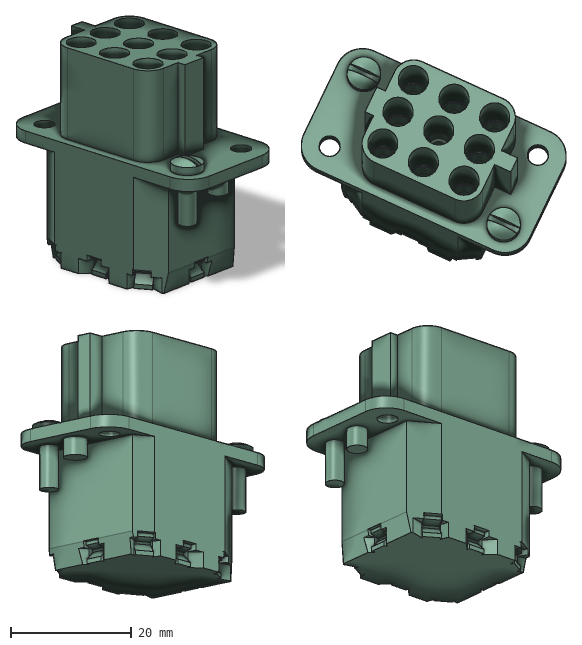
import cadquery as cq
import math

total_height = 38.75
flange_top = 22.42
flange_thickness = 2.15
flange_bottom = flange_top - flange_thickness

flange_length = 41.6
flange_width = 22.4
flange_corner_radius = 4.58
fixing_x = 16.0
fixing_y = 6.7
fixing_hole_diameter = 3.5

insert_center_x = -0.9
insert_length = 21.85
insert_width = 18.95
insert_corner_radius = 3.5
narrow_key_tip_x = -14.8
narrow_key_width = 2.65
wide_key_tip_x = 11.55
wide_key_width = 4.65

cavity_pitch_x = 7.5
cavity_pitch_y = 6.0
cavity_diameter = 5.0
cavity_depth = 12.5
cavity_step_diameter = 4.58
cavity_step_depth = 0.2
funnel_depth = 1.25
ground_seat_diameter = 3.8
tip_diameter = 2.7
tip_depth = 0.85

base_half_length = 13.15
base_half_width = flange_width / 2
base_center_x = -0.87
front_face_half_length = 8.85
corner_angle = 30.0
taper_height = 3.7
taper_inset = 0.65

latch_width = 3.2
pocket_height = 2.7
window_height = 3.8
pocket_throat_depth = 1.85
latch_depth = 1.25
back_wall_depth = 2.75
latch_foot_height = 0.8
latch_slope_top = 2.25
lintel_depth = 1.1
lintel_bottom = 3.15
end_pocket_face_x = 13.55
corner_pocket_offset = 10.05

screw_head_diameter = 5.6
screw_rim_height = 1.4
screw_dome_height = 0.8
screw_slot_width = 1.0
screw_shank_diameter = 3.15
screw_shank_length = 7.35
left_pin_x = -17.0
left_pin_diameter = 4.0
left_pin_length = 3.1
right_pin_x = 16.9
right_pin_diameter = 3.5
right_pin_length = 3.55


def cylinder(x, y, z, diameter, height):
    """Upright cylinder standing on (x, y, z)."""
    return cq.Workplane("XY", origin=(x, y, z)).circle(diameter / 2).extrude(height)


def block(x_min, x_max, width, z_min, z_max):
    """Box centred on Y = 0 between the given X and Z limits."""
    center = ((x_min + x_max) / 2, 0, z_min)
    return (
        cq.Workplane("XY", origin=center)
        .rect(x_max - x_min, width)
        .extrude(z_max - z_min)
    )


def make_flange():
    flange = (
        cq.Workplane("XY", origin=(0, 0, flange_bottom))
        .rect(flange_length, flange_width)
        .extrude(flange_thickness)
        .edges("|Z")
        .fillet(flange_corner_radius)
    )
    for side in (-1, 1):
        hole = cylinder(side * fixing_x, side * fixing_y, flange_bottom,
                        fixing_hole_diameter, flange_thickness)
        flange = flange.cut(hole)
    return flange


def make_insert():
    insert = (
        cq.Workplane("XY", origin=(insert_center_x, 0, flange_bottom))
        .rect(insert_length, insert_width)
        .extrude(total_height - flange_bottom)
        .edges("|Z")
        .fillet(insert_corner_radius)
    )
    narrow_key = block(narrow_key_tip_x, insert_center_x, narrow_key_width, flange_top, total_height)
    wide_key = block(insert_center_x, wide_key_tip_x, wide_key_width, flange_top, total_height)
    return insert.union(narrow_key).union(wide_key)


def make_cavity(x, y, funnel_profile):
    """Round cavity with a stepped bottom; the profile lists (diameter, depth) downwards."""
    points = [(0, 0)]
    points += [(diameter / 2, -depth) for diameter, depth in funnel_profile]
    return (
        cq.Workplane("XZ")
        .polyline(points)
        .close()
        .revolve(360, (0, 0), (0, 1))
        .translate((x, y, total_height))
    )


def cut_cavities(body):
    funnel_top = cavity_depth + cavity_step_depth
    funnel_bottom = funnel_top + funnel_depth
    tip = [(tip_diameter, funnel_bottom), (0, funnel_bottom + tip_depth)]
    signal_profile = [
        (cavity_diameter, 0),
        (cavity_diameter, cavity_depth),
        (cavity_step_diameter, cavity_depth),
        (cavity_step_diameter, funnel_top),
    ] + tip
    ground_profile = [
        (cavity_diameter, 0),
        (cavity_diameter, funnel_top),
        (ground_seat_diameter, funnel_bottom),
    ] + tip
    for column in (-1, 0, 1):
        for row in (-1, 0, 1):
            profile = ground_profile if column == 0 and row == 0 else signal_profile
            x = insert_center_x + column * cavity_pitch_x
            body = body.cut(make_cavity(x, row * cavity_pitch_y, profile))
    return body


def corner_face_y(x):
    """Distance from the X axis to the slanted corner face at a given X."""
    run = abs(x - base_center_x) - front_face_half_length
    return base_half_width - run * math.tan(math.radians(corner_angle))


def make_base():
    front_left = base_center_x - front_face_half_length
    front_right = base_center_x + front_face_half_length
    left_y = corner_face_y(-base_half_length)
    right_y = corner_face_y(base_half_length)
    outline = [
        (front_left, -base_half_width),
        (front_right, -base_half_width),
        (base_half_length, -right_y),
        (base_half_length, right_y),
        (front_right, base_half_width),
        (front_left, base_half_width),
        (-base_half_length, left_y),
        (-base_half_length, -left_y),
    ]
    base = cq.Workplane("XY").polyline(outline).close().extrude(flange_bottom)
    bottom_half_length = base_half_length - taper_inset
    tapered_side = (
        cq.Workplane("XZ")
        .polyline([
            (-bottom_half_length, 0),
            (bottom_half_length, 0),
            (base_half_length, taper_height),
            (base_half_length, flange_bottom),
            (-base_half_length, flange_bottom),
            (-base_half_length, taper_height),
        ])
        .close()
        .extrude(base_half_width, both=True)
    )
    return base.intersect(tapered_side)


def make_latch_pocket():
    """Pocket tool whose outer face lies on X = 0 and which reaches towards -X."""
    half_width = latch_width / 2
    overrun = 0.85
    mouth_half_width = half_width + pocket_throat_depth + overrun
    mouth = (
        cq.Workplane("XY")
        .polyline([
            (overrun, -mouth_half_width),
            (overrun, mouth_half_width),
            (-pocket_throat_depth, half_width),
            (-pocket_throat_depth, -half_width),
        ])
        .close()
        .extrude(pocket_height)
    )
    slot = (
        cq.Workplane("XZ")
        .polyline([
            (overrun, 0),
            (-back_wall_depth, 0),
            (-back_wall_depth, pocket_height),
            (-lintel_depth, lintel_bottom),
            (-lintel_depth, window_height),
            (overrun, window_height),
        ])
        .close()
        .extrude(half_width, both=True)
    )
    latch = (
        cq.Workplane("XZ")
        .polyline([
            (-latch_depth, 0),
            (-latch_depth, latch_foot_height),
            (-back_wall_depth, latch_slope_top),
            (-back_wall_depth, 0),
        ])
        .close()
        .extrude(half_width, both=True)
    )
    return mouth.union(slot).cut(latch)


def cut_latch_pockets(base):
    pocket = make_latch_pocket()
    places = [(-end_pocket_face_x, 0, 180), (end_pocket_face_x, 0, 0)]
    for side in (-1, 1):
        places.append((base_center_x, side * base_half_width, side * 90))
        for end in (-1, 1):
            x = base_center_x + end * corner_pocket_offset
            direction = side * (90 - end * corner_angle)
            places.append((x, side * corner_face_y(x), direction))
    for x, y, direction in places:
        tool = pocket.rotate((0, 0, 0), (0, 0, 1), direction).translate((x, y, 0))
        base = base.cut(tool)
    return base


def make_screw(x, y):
    """Domed slotted screw; the floor of its slot is dished as deep as the head is domed."""
    radius = screw_head_diameter / 2
    dome_top = screw_rim_height + screw_dome_height
    dome_radius = (radius**2 + screw_dome_height**2) / (2 * screw_dome_height)
    mid_radius = radius / 2
    mid_rise = screw_dome_height - dome_radius + math.sqrt(dome_radius**2 - mid_radius**2)
    head = (
        cq.Workplane("XZ")
        .lineTo(radius, 0)
        .lineTo(radius, screw_rim_height)
        .threePointArc((mid_radius, screw_rim_height + mid_rise), (0, dome_top))
        .close()
        .revolve(360, (0, 0), (0, 1))
    )
    dish = (
        cq.Workplane("XZ")
        .moveTo(0, dome_top)
        .lineTo(radius, dome_top)
        .lineTo(radius, screw_rim_height)
        .threePointArc((mid_radius, screw_rim_height - mid_rise), (0, screw_rim_height - screw_dome_height))
        .close()
        .revolve(360, (0, 0), (0, 1))
    )
    slot = (
        cq.Workplane("XY")
        .rect(screw_head_diameter, screw_slot_width)
        .extrude(dome_top)
        .intersect(dish)
    )
    head = head.cut(slot).translate((x, y, flange_top))
    shank = cylinder(x, y, flange_bottom - screw_shank_length, screw_shank_diameter, screw_shank_length)
    return head.union(shank)


body = make_flange().union(make_insert())
body = body.union(cut_latch_pockets(make_base()))
body = cut_cavities(body)

for screw_side in (-1, 1):
    screw = make_screw(screw_side * fixing_x, -screw_side * fixing_y)
    body = body.union(screw)

coding_pins = [
    (left_pin_x, left_pin_diameter, left_pin_length),
    (right_pin_x, right_pin_diameter, right_pin_length),
]
for pin_x, pin_diameter, pin_length in coding_pins:
    pin = cylinder(pin_x, 0, flange_bottom - pin_length, pin_diameter, pin_length)
    body = body.union(pin)

result = body